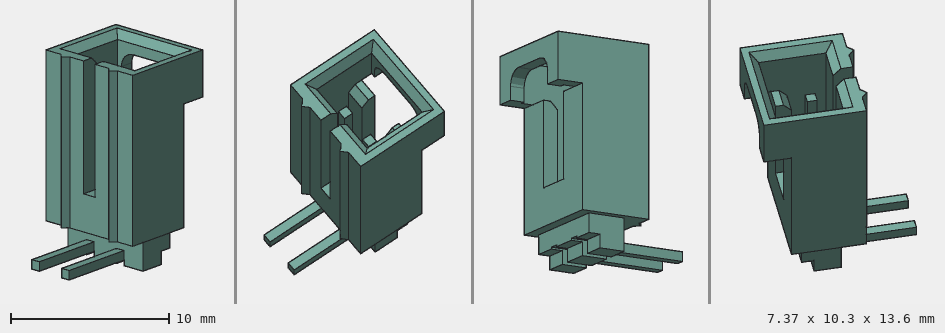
import cadquery as cq

total_height = 13.59
housing_width = 7.37
housing_depth = 6.62
housing_bottom = 2.17
lower_back_y = 4.84
overhang_height = 3.15
overhang_bottom = total_height - overhang_height

side_wall = 1.03
front_wall = 1.29
upper_back_wall = 0.99
lower_back_wall = 1.03
floor_z = 4.72
mouth_chamfer = 0.52
cavity_width = housing_width - 2 * side_wall
cavity_back_y = housing_depth - upper_back_wall

front_slot_width = 0.98
back_gap_width = 2.5
window_width = 4.65
window_top = total_height - 1.24
window_corner_radius = 1.0

ridge_x = 2.02
ridge_height = 0.38

base_width = 6.36
base_front_y = 1.52
base_back_y = 4.08
foot_back_y = 3.28
foot_height = 0.9

pin_pitch = 2.53
pin_size = 0.64
pin_y = 2.53
pin_bottom = 0.38
pin_reach = 3.67
pin_top = 10.74
pin_leg_top = pin_bottom + pin_size


def block(width, y_range, z_range, center_x=0.0):
    """Box centred on center_x that spans the given Y and Z ranges."""
    y_min, y_max = y_range
    z_min, z_max = z_range
    return (
        cq.Workplane("XY")
        .box(width, y_max - y_min, z_max - z_min, centered=(True, False, False))
        .translate((center_x, y_min, z_min))
    )


def housing_shell():
    """Outer housing, with its upper end overhanging at the back."""
    column = block(housing_width, (0, lower_back_y), (housing_bottom, total_height))
    overhang = block(housing_width, (0, housing_depth), (overhang_bottom, total_height))
    return column.union(overhang)


def cavity():
    """Stepped socket space with flared mouth and a chamfered ledge at the back."""
    lower_cavity_back_y = lower_back_y - lower_back_wall
    profile = [
        (front_wall, floor_z),
        (lower_cavity_back_y, floor_z),
        (lower_cavity_back_y, overhang_bottom - mouth_chamfer),
        (lower_cavity_back_y + mouth_chamfer, overhang_bottom),
        (cavity_back_y, overhang_bottom),
        (cavity_back_y, total_height),
        (front_wall, total_height),
    ]
    space = (
        cq.Workplane("YZ").polyline(profile).close()
        .extrude(cavity_width / 2, both=True)
    )
    cavity_depth = cavity_back_y - front_wall
    mouth = (
        cq.Workplane("XY", origin=(0, front_wall + cavity_depth / 2, total_height))
        .rect(cavity_width + 2 * mouth_chamfer, cavity_depth + 2 * mouth_chamfer)
        .workplane(offset=-mouth_chamfer)
        .rect(cavity_width, cavity_depth)
        .loft(ruled=True)
    )
    return space.union(mouth)


def wall_openings():
    """Front slot, lower back gap and round-cornered window in the overhang."""
    slot = block(front_slot_width, (0, front_wall), (floor_z, total_height))
    gap = block(
        back_gap_width,
        (lower_back_y - lower_back_wall, lower_back_y),
        (floor_z, overhang_bottom),
    )
    window = (
        block(window_width, (lower_back_y, housing_depth), (overhang_bottom, window_top))
        .edges("|Y and >Z").fillet(window_corner_radius)
    )
    return slot.union(gap).union(window)


def ridge(center_x):
    """Triangular ridge running the full height of the front face."""
    return (
        cq.Workplane("XY", origin=(center_x, 0, housing_bottom))
        .polyline([(-ridge_height, 0), (0, -ridge_height), (ridge_height, 0)])
        .close()
        .extrude(total_height - housing_bottom)
    )


def base():
    """Base block with a narrower foot."""
    upper = block(base_width, (base_front_y, base_back_y), (foot_height, housing_bottom))
    foot = block(base_width, (base_front_y, foot_back_y), (0, foot_height))
    return upper.union(foot)


def pin_notch(center_x):
    """Channel through the base that takes the horizontal pin leg."""
    return block(pin_size, (base_front_y, base_back_y), (0, pin_leg_top), center_x)


def pin(center_x):
    """Pin that rises through the base and leaves it horizontally at the front."""
    half = pin_size / 2
    leg = block(pin_size, (-pin_reach, pin_y + half), (pin_bottom, pin_leg_top), center_x)
    post = block(pin_size, (pin_y - half, pin_y + half), (pin_bottom, pin_top), center_x)
    return leg.union(post)


result = housing_shell().cut(cavity()).cut(wall_openings()).union(base())
for side in (-1, 1):
    pin_x = side * pin_pitch / 2
    result = result.union(ridge(side * ridge_x))
    result = result.cut(pin_notch(pin_x))
    result = result.union(pin(pin_x))